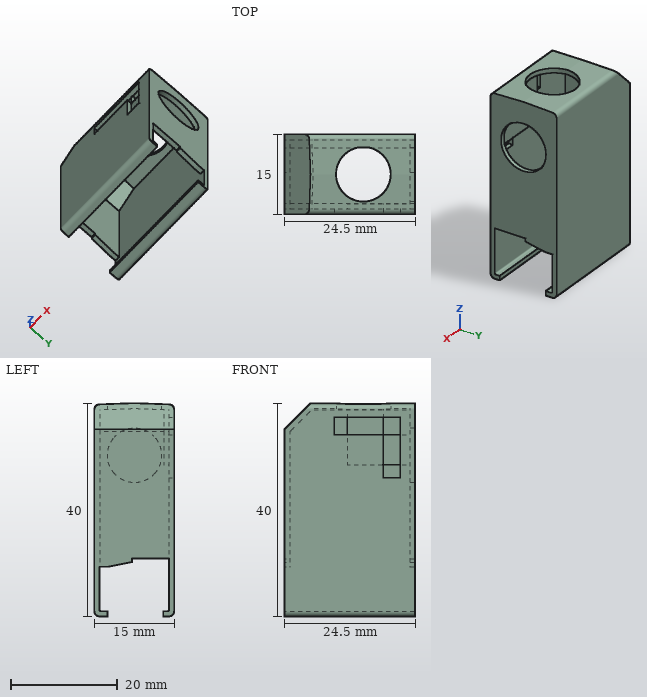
import cadquery as cq
import math

LENGTH = 24.5
WIDTH = 15.0
HEIGHT = 40.0
WALL = 1.0
OVERSHOOT = 1.0

ROOF_ANGLE = 2.0
CHAMFER = 4.9
EDGE_RADIUS = 1.0

FRONT_LIP = 2.1
BACK_LIP = 2.5
LIP_FILLET = 0.3

END_WALL_BOTTOM = 10.85
STEP_Y = 0.4
STEP_BOTTOM = 10.2
SLOPE_END_Y = 4.9
SLOPE_BOTTOM = 9.3

HOLE_DIAMETER = 10.2
ROOF_HOLE_X = 14.8
END_HOLE_Z = 30.25

SLOT_WIDTH = 3.2
SLOT_RIGHT = 21.7
SLOT_TOP = 37.3
SLOT_LENGTH = 12.4
SLOT_DROP = 11.3
SLOT_CORNER_LEFT = SLOT_RIGHT - SLOT_WIDTH
SLOT_CORNER_BOTTOM = SLOT_TOP - SLOT_WIDTH

PAD_THICKNESS = 1.0
ARM_END_OPENING = 2.45

HALF_WIDTH = WIDTH / 2
INNER_HALF_WIDTH = HALF_WIDTH - WALL
ROOF_SLOPE = math.tan(math.radians(ROOF_ANGLE))


def box(x_range, y_range, z_range):
    """Block spanning the given (low, high) ranges along X, Y and Z."""
    sizes = [high - low for low, high in (x_range, y_range, z_range)]
    corner = (x_range[0], y_range[0], z_range[0])
    return cq.Workplane("XY").box(*sizes, centered=False).translate(corner)


def gabled_prism(x_start, x_end, half_width, bottom, ridge):
    """Prism along X with upright sides and a shallow gabled top."""
    eaves = ridge - half_width * ROOF_SLOPE
    outline = [
        (-half_width, bottom),
        (half_width, bottom),
        (half_width, eaves),
        (0, ridge),
        (-half_width, eaves),
    ]
    return cq.Workplane("YZ", origin=(x_start, 0, 0)).polyline(outline).close().extrude(x_end - x_start)


def chamfer_end(body, x_start, ridge, size):
    """Cut a 45 degree chamfer between the upright end at x_start and the roof."""
    reach = size + OVERSHOOT
    corner = [
        (x_start - OVERSHOOT, ridge - reach),
        (x_start + reach, ridge + OVERSHOOT),
        (x_start - OVERSHOOT, ridge + OVERSHOOT),
    ]
    cutter = cq.Workplane("XZ").polyline(corner).close().extrude(HALF_WIDTH + OVERSHOOT, both=True)
    return body.cut(cutter)


def outer_body():
    """Solid envelope with all four long outer edges rounded, then chamfered at the end."""
    body = gabled_prism(0, LENGTH, HALF_WIDTH, 0, HEIGHT)
    long_side_edges = body.edges("|X and (<Y or >Y)")
    return chamfer_end(long_side_edges.fillet(EDGE_RADIUS), 0, HEIGHT, CHAMFER)


def cavity():
    """Inner space one wall thickness inside the roof, the chamfer, the end walls and the side walls.

    Its two long bottom edges are rounded, which leaves a fillet between each lip and its side wall.
    """
    ridge = HEIGHT - WALL
    inner_chamfer = CHAMFER + WALL * (math.sqrt(2) - 2)
    space = gabled_prism(WALL, LENGTH - WALL, INNER_HALF_WIDTH, WALL, ridge)
    space = space.edges("|X and <Z").fillet(LIP_FILLET)
    return chamfer_end(space, WALL, ridge, inner_chamfer)


def bottom_opening():
    """Gap between the lips, open at the bottom over the full length."""
    return box(
        (-OVERSHOOT, LENGTH + OVERSHOOT),
        (FRONT_LIP - HALF_WIDTH, HALF_WIDTH - BACK_LIP),
        (-OVERSHOOT, WALL + OVERSHOOT),
    )


def end_wall_opening():
    """Stepped opening running lengthwise through the lower part of both end walls."""
    outline = [
        (-INNER_HALF_WIDTH, WALL),
        (INNER_HALF_WIDTH, WALL),
        (INNER_HALF_WIDTH, SLOPE_BOTTOM),
        (SLOPE_END_Y, SLOPE_BOTTOM),
        (STEP_Y, STEP_BOTTOM),
        (STEP_Y, END_WALL_BOTTOM),
        (-INNER_HALF_WIDTH, END_WALL_BOTTOM),
    ]
    prism = cq.Workplane("YZ").polyline(outline).close().extrude(LENGTH)
    return prism.edges("|X and <Z").fillet(LIP_FILLET)


def roof_hole():
    """Round hole down through the roof."""
    plane = cq.Workplane("XY", origin=(ROOF_HOLE_X, 0, HEIGHT / 2))
    return plane.circle(HOLE_DIAMETER / 2).extrude(HEIGHT)


def end_hole():
    """Round hole through the +X end wall."""
    plane = cq.Workplane("YZ", origin=(LENGTH / 2, 0, END_HOLE_Z))
    return plane.circle(HOLE_DIAMETER / 2).extrude(LENGTH)


def slot():
    """L-shaped slot through the -Y wall."""
    y_range = (-HALF_WIDTH - OVERSHOOT, -INNER_HALF_WIDTH)
    level_arm = box((SLOT_RIGHT - SLOT_LENGTH, SLOT_RIGHT), y_range, (SLOT_CORNER_BOTTOM, SLOT_TOP))
    upright_arm = box((SLOT_CORNER_LEFT, SLOT_RIGHT), y_range, (SLOT_TOP - SLOT_DROP, SLOT_TOP))
    return level_arm.union(upright_arm)


def pad():
    """Thickening inside the -Y wall, up to the roof and the +X wall, notched at the slot corner."""
    y_range = (-INNER_HALF_WIDTH, -INNER_HALF_WIDTH + PAD_THICKNESS)
    left = SLOT_RIGHT - SLOT_LENGTH + ARM_END_OPENING
    bottom = SLOT_TOP - SLOT_DROP + ARM_END_OPENING
    block = box((left, LENGTH - WALL), y_range, (bottom, HEIGHT))
    notch = box((SLOT_CORNER_LEFT, LENGTH), y_range, (SLOT_CORNER_BOTTOM, HEIGHT))
    return block.cut(notch).intersect(cavity())


shell = outer_body().cut(cavity()).cut(bottom_opening()).cut(end_wall_opening())
result = shell.union(pad()).cut(roof_hole()).cut(end_hole()).cut(slot())